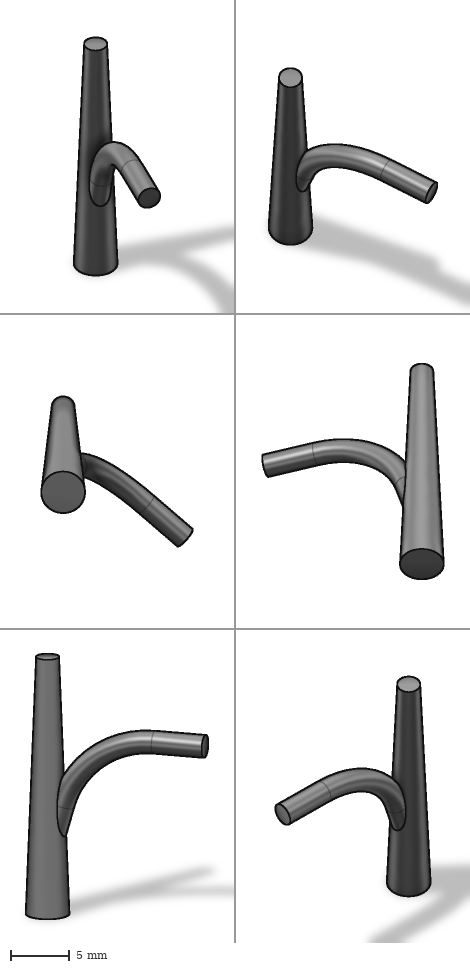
import cadquery as cq
import math

TRUNK_HEIGHT = 23.0
TRUNK_BASE_DIAMETER = 3.8
TUBE_DIAMETER = 2.0

OVERALL_LENGTH = 16.1
BRANCH_HEIGHT = 16.15
BEND_START_X = 9.64
BEND_RADIUS = 8.55
BEND_ANGLE = math.radians(74)
ROOT_LENGTH = 4.6

BRANCH_END_X = OVERALL_LENGTH - TRUNK_BASE_DIAMETER / 2


def make_trunk():
    """Solid cone frustum standing on the XY plane."""
    return cq.Workplane(
        cq.Solid.makeCone(TRUNK_BASE_DIAMETER / 2, TUBE_DIAMETER / 2, TRUNK_HEIGHT)
    )


def bend_point(angle):
    """Point on the bend centreline in XZ, with the angle measured from the horizontal run."""
    x = BEND_START_X - BEND_RADIUS * math.sin(angle)
    z = BRANCH_HEIGHT - BEND_RADIUS * (1 - math.cos(angle))
    return x, z


def make_branch(trunk):
    """Round rod swept along its centreline and trimmed to seat against the trunk."""
    bend_x, bend_z = bend_point(BEND_ANGLE)
    root_x = bend_x - ROOT_LENGTH * math.cos(BEND_ANGLE)
    root_z = bend_z - ROOT_LENGTH * math.sin(BEND_ANGLE)
    centreline = (
        cq.Workplane("XZ")
        .moveTo(BRANCH_END_X, BRANCH_HEIGHT)
        .lineTo(BEND_START_X, BRANCH_HEIGHT)
        .threePointArc(bend_point(BEND_ANGLE / 2), (bend_x, bend_z))
        .lineTo(root_x, root_z)
    )
    rod = (
        cq.Workplane("YZ", origin=(BRANCH_END_X, 0, BRANCH_HEIGHT))
        .circle(TUBE_DIAMETER / 2)
        .sweep(centreline)
    )
    return rod.cut(trunk)


trunk = make_trunk()
branch = make_branch(trunk)

result = cq.Compound.makeCompound([trunk.val(), *branch.solids().vals()])